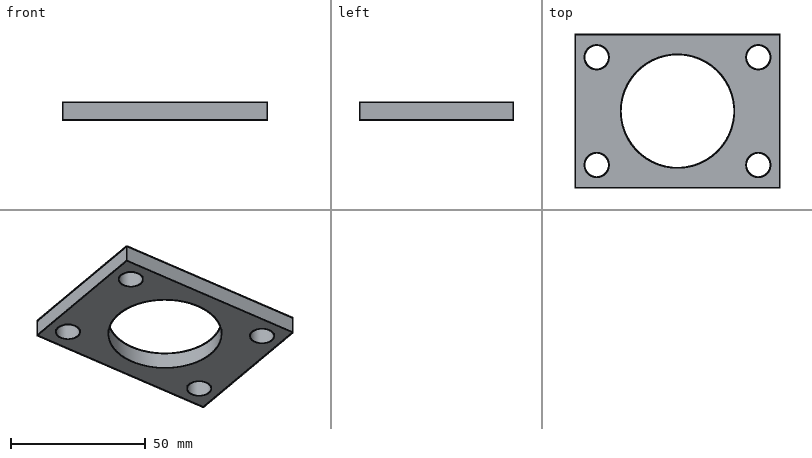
import cadquery as cq

length = 76.0
width = 57.0
thickness = 6.8

bore_diameter = 42.0
bolt_hole_diameter = 9.0
bolt_spacing_x = 60.0
bolt_spacing_y = 40.0

plate = cq.Workplane("XY").box(length, width, thickness)

bored_plate = plate.faces(">Z").workplane().hole(bore_diameter)

result = (
    bored_plate.faces(">Z")
    .workplane(origin=(0, 0, 0))
    .rect(bolt_spacing_x, bolt_spacing_y, forConstruction=True)
    .vertices()
    .hole(bolt_hole_diameter)
)